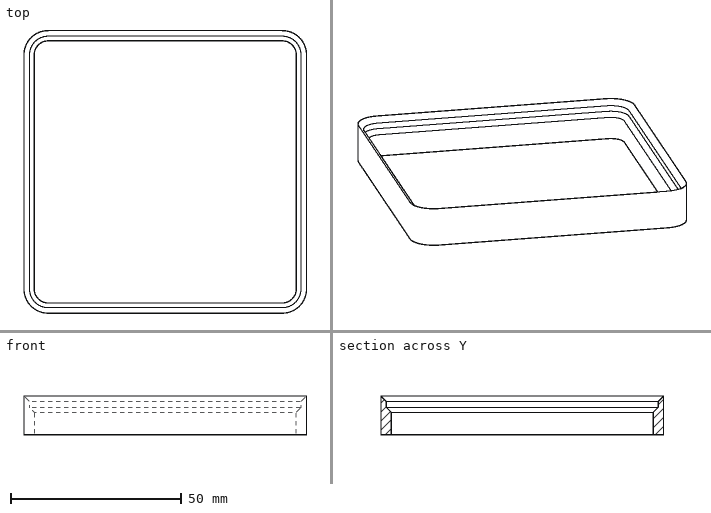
import cadquery as cq

outer_side = 83.0
height = 11.45
corner_radius = 7.1

slope_angle = 45
rim_slope = 1.7
step_height = 1.75
ledge_slope = 1.4

step_top = height - rim_slope
step_bottom = step_top - step_height
ledge_bottom = step_bottom - ledge_slope
step_inset = rim_slope
bore_inset = step_inset + ledge_slope


def rounded_prism(inset, bottom, top):
    """Rounded square block whose walls lie a given inset inside the outer wall."""
    side = outer_side - 2 * inset
    return (
        cq.Workplane("XY")
        .workplane(offset=bottom)
        .rect(side, side)
        .extrude(top - bottom)
        .edges("|Z")
        .fillet(corner_radius - inset)
    )


def tapered_prism(inset, bottom, top):
    """Rounded square block that widens upward at 45 degrees to the given inset."""
    bottom_inset = inset + top - bottom
    bottom_side = outer_side - 2 * bottom_inset
    outline = cq.Sketch().rect(bottom_side, bottom_side).vertices().fillet(corner_radius - bottom_inset)
    return (
        cq.Workplane("XY")
        .workplane(offset=bottom)
        .placeSketch(outline)
        .extrude(top - bottom, taper=-slope_angle)
    )


ring = rounded_prism(0, 0, height)
ring = ring.cut(rounded_prism(bore_inset, 0, ledge_bottom))
ring = ring.cut(tapered_prism(step_inset, ledge_bottom, step_bottom))
ring = ring.cut(rounded_prism(step_inset, step_bottom, step_top))
ring = ring.cut(tapered_prism(0, step_top, height))

result = ring